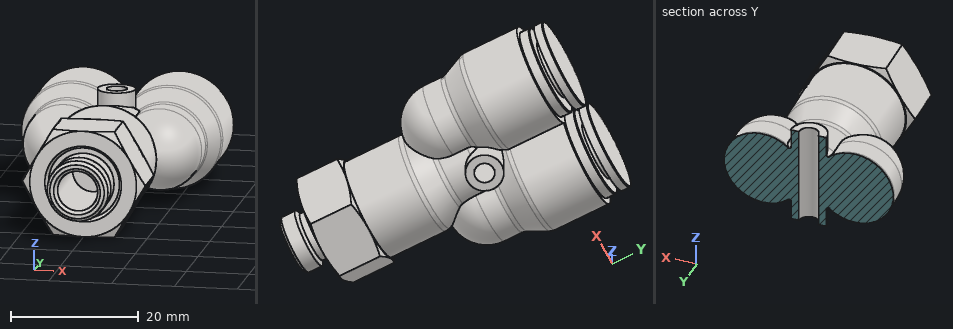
import cadquery as cq
import math


sleeve_top_y = 51.9
body_d = 16.7
waist_d = 13.0
port_offset = 7.7
stem_bottom_y = 13.4
stem_cone_y = 23.35
port_cone_y = 33.85
cone_length = 4.05
port_top_y = 47.8
port_dome_y = 30.25
stem_end_y = 34.05
stem_end_fillet = 1.3
cone_fillet = 1.8

eye_y = port_cone_y
eye_d = 6.0
eye_hole_d = 3.2
eye_height = 17.0

cap_d = 14.75
cap_top_y = 49.5
cap_chamfer = 0.15

sleeve_neck_d = 9.6
flange_width = 15.0
flange_height = 12.85
flange_bottom_y = 50.4
flange_chamfer = 0.15

hex_across_flats = 17.0
hex_bottom_y = 5.2
hex_corner_chamfer = 0.5
thread_d = 9.7
thread_chamfer = 0.5
thread_end_y = 2.85
neck_d = 8.2
neck_start_y = 3.3
neck_flare_y = 4.8
recess_d = 12.2
recess_depth = 0.8
recess_taper = math.radians(30)
bore_d = 6.4
bore_chamfer = 0.5


def revolve_about_y(outline):
    """Revolve a closed (radius, y) outline about the Y axis."""
    return cq.Workplane("XY").polyline(outline).close().revolve(360, (0, 0, 0), (0, 1, 0))


def cylinder_y(diameter, start_y, end_y):
    """Round bar along the Y axis."""
    return cq.Workplane("XZ", origin=(0, start_y, 0)).circle(diameter / 2).extrude(start_y - end_y)


def fillet_ring(solid, ring_y, radius):
    """Round the circular edge that lies around the Y axis at ring_y."""
    return solid.edges(cq.NearestToPointSelector((0, ring_y, 0))).fillet(radius)


def make_stem():
    """Lower pipe: wide barrel, cone and narrow waist with a rounded end."""
    waist_y = stem_cone_y + cone_length
    stem = revolve_about_y([
        (0, stem_bottom_y),
        (body_d / 2, stem_bottom_y),
        (body_d / 2, stem_cone_y),
        (waist_d / 2, waist_y),
        (waist_d / 2, stem_end_y),
        (0, stem_end_y),
    ])
    stem = fillet_ring(stem, stem_cone_y, cone_fillet)
    stem = fillet_ring(stem, waist_y, cone_fillet)
    return fillet_ring(stem, stem_end_y, stem_end_fillet)


def make_port():
    """Upper pipe on the Y axis: domed waist, cone and wide barrel."""
    barrel_y = port_cone_y + cone_length
    dome_r = waist_d / 2
    dome_mid = dome_r * math.sqrt(0.5)
    port = (
        cq.Workplane("XY")
        .moveTo(0, port_dome_y - dome_r)
        .threePointArc((dome_mid, port_dome_y - dome_mid), (dome_r, port_dome_y))
        .lineTo(dome_r, port_cone_y)
        .lineTo(body_d / 2, barrel_y)
        .lineTo(body_d / 2, port_top_y)
        .lineTo(0, port_top_y)
        .close()
        .revolve(360, (0, 0, 0), (0, 1, 0))
    )
    port = fillet_ring(port, port_cone_y, cone_fillet)
    return fillet_ring(port, barrel_y, cone_fillet)


def make_housing():
    """Stem and two ports joined, with the mounting eye between the ports."""
    housing = make_stem()
    port = make_port()
    for side in (-1, 1):
        housing = housing.union(port.translate((side * port_offset, 0, 0)))
    eye_plane = cq.Workplane("XY", origin=(0, eye_y, -eye_height / 2))
    housing = housing.union(eye_plane.circle(eye_d / 2).extrude(eye_height))
    return housing.cut(eye_plane.circle(eye_hole_d / 2).extrude(eye_height))


def make_cap(port_x):
    """Round cap closing one port."""
    cap = cylinder_y(cap_d, port_top_y, cap_top_y).faces(">Y").chamfer(cap_chamfer)
    return cap.translate((port_x, 0, 0))


def make_sleeve(port_x):
    """Release sleeve: round neck standing on the cap, with an oval flange."""
    flange = (
        cq.Workplane("XZ", origin=(0, flange_bottom_y, 0))
        .ellipse(flange_width / 2, flange_height / 2)
        .extrude(flange_bottom_y - sleeve_top_y)
        .faces(">Y")
        .chamfer(flange_chamfer)
    )
    neck = cylinder_y(sleeve_neck_d, cap_top_y, flange_bottom_y)
    return flange.union(neck).translate((port_x, 0, 0))


def make_hexagon():
    """Hexagon with two corners on X, its corners chamfered at both ends."""
    corner_d = hex_across_flats / math.cos(math.radians(30))
    hexagon = (
        cq.Workplane("XZ", origin=(0, hex_bottom_y, 0))
        .polygon(6, corner_d)
        .extrude(hex_bottom_y - stem_bottom_y)
    )
    chamfer_envelope = revolve_about_y([
        (0, hex_bottom_y),
        (hex_across_flats / 2, hex_bottom_y),
        (corner_d / 2, hex_bottom_y + hex_corner_chamfer),
        (corner_d / 2, stem_bottom_y - hex_corner_chamfer),
        (hex_across_flats / 2, stem_bottom_y),
        (0, stem_bottom_y),
    ])
    return hexagon.intersect(chamfer_envelope)


def make_stud():
    """Hexagon with a tapered recess around the neck, thread and through bore."""
    recess_floor_y = hex_bottom_y + recess_depth
    recess_floor_r = recess_d / 2 - recess_depth * math.tan(recess_taper)
    flare_r = neck_d / 2 + (recess_floor_y - neck_flare_y) * math.tan(recess_taper)
    recess = revolve_about_y([
        (0, hex_bottom_y),
        (recess_d / 2, hex_bottom_y),
        (recess_floor_r, recess_floor_y),
        (0, recess_floor_y),
    ])
    shank = revolve_about_y([
        (0, 0),
        (thread_d / 2 - thread_chamfer, 0),
        (thread_d / 2, thread_chamfer),
        (thread_d / 2, thread_end_y),
        (neck_d / 2, neck_start_y),
        (neck_d / 2, neck_flare_y),
        (flare_r, recess_floor_y),
        (0, recess_floor_y),
    ])
    bore = revolve_about_y([
        (0, 0),
        (bore_d / 2 + bore_chamfer, 0),
        (bore_d / 2, bore_chamfer),
        (bore_d / 2, stem_bottom_y),
        (0, stem_bottom_y),
    ])
    return make_hexagon().cut(recess).union(shank).cut(bore)


housing = make_housing()
stud = make_stud()
caps = [make_cap(side * port_offset) for side in (-1, 1)]
sleeves = [make_sleeve(side * port_offset) for side in (-1, 1)]

result = cq.Compound.makeCompound([
    housing.val(),
    stud.val(),
    *[cap.val() for cap in caps],
    *[sleeve.val() for sleeve in sleeves],
])